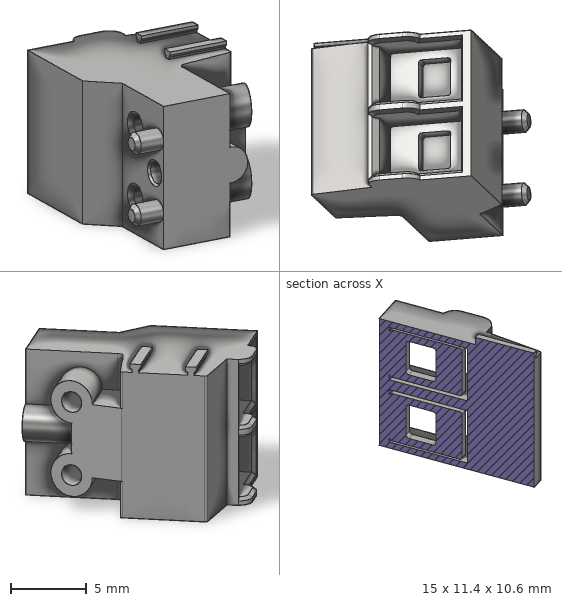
import cadquery as cq
import math

total_length = 15.0
total_depth = 11.4
body_height = 10.0
mid_height = body_height / 2
pole_offset = 2.5
pole_levels = (mid_height - pole_offset, mid_height + pole_offset)

body_left = 0.75
body_back = 7.08
step_start = 7.89
step_end = 9.63
step_depth = 2.01

tower_left = 1.52
tower_right = 8.45
tower_flank_run = 0.55
tower_tip_radius = 0.18
tower_root_radius = 0.45

recess_floor = 3.7
recess_front = 0.75
recess_back = 6.46
recess_front_bevel = 0.14
recess_back_mouth = 6.82
recess_back_bevel_end = 1.3

shelf_wall = 0.51
middle_shelf_half = 0.4
shelf_bevel_height = 0.21
shelf_bevel_run = 0.27
shelf_anchor_front = 0.3
shelf_anchor_depth = 0.75
shelf_anchor_right = recess_floor + shelf_anchor_depth
lobe_radius = 1.0
lobe_front = 3.5

pad_face = 2.65
pad_back = 6.1
pad_height = 3.76
pad_radius = 0.18
window_width = 2.2
window_height = 2.6
window_center = 3.08
window_radius = 0.22

rib_centers = (3.15, 6.87)
rib_height = 0.57
rib_head_width = 0.74
rib_stem_width = 0.44
rib_head_height = 0.24
rib_stem_height = 0.15

sleeve_x = 11.31
sleeve_radius = 1.45
sleeve_slope_degrees = 15.0
slope_start = 7.82
screw_hole_radius = 0.7
screw_hole_bevel = 0.3

pin_radius = 0.75
pin_x = total_length - pin_radius
pin_bevel = 0.3
socket_x = 13.82
socket_radius = 0.75
socket_bevel = 0.15
boss_radius = 1.25
boss_axis_y = 7.2


def box_between(x_range, y_range, z_range):
    """Axis-aligned box given by its limits along X, Y and Z."""
    (x0, x1), (y0, y1), (z0, z1) = x_range, y_range, z_range
    return cq.Workplane("XY").box(x1 - x0, y1 - y0, z1 - z0, centered=False).translate((x0, y0, z0))


def rod(x, z, radius, y_start, y_end):
    """Round rod parallel to Y."""
    base = cq.Plane(origin=(x, y_start, z), xDir=(1, 0, 0), normal=(0, 1, 0))
    return cq.Workplane(base).circle(radius).extrude(y_end - y_start)


def flared_hole(x, z, radius, bevel, y_end):
    """Hole cutter entering the stepped front face, with a 45 degree mouth."""
    mouth = cq.Solid.makeCone(
        radius + bevel, radius, bevel, cq.Vector(x, step_depth, z), cq.Vector(0, 1, 0)
    )
    return rod(x, z, radius, step_depth, y_end).union(cq.Workplane(mouth))


def make_body():
    outline = [
        (body_left, 0),
        (step_start, 0),
        (step_end, step_depth),
        (total_length, step_depth),
        (total_length, body_back),
        (tower_right, body_back),
        (tower_right - tower_flank_run, total_depth),
        (tower_left + tower_flank_run, total_depth),
        (tower_left, body_back),
        (body_left, body_back),
    ]
    body = cq.Workplane("XY").polyline(outline).close().extrude(body_height)
    body = body.faces(">Y").edges("|Z").fillet(tower_tip_radius)
    root = cq.selectors.NearestToPointSelector((tower_right, body_back, mid_height))
    return body.edges("|Z").edges(root).fillet(tower_root_radius)


def make_recess():
    outline = [
        (body_left, recess_front - recess_front_bevel),
        (body_left + shelf_bevel_run, recess_front),
        (recess_floor, recess_front),
        (recess_floor, recess_back),
        (recess_back_bevel_end, recess_back),
        (body_left, recess_back_mouth),
    ]
    return cq.Workplane("XY").polyline(outline).close().extrude(body_height)


def shelf_layer(z, height, taper):
    """Lobe and straight rim of a shelf; their front, back and right sides are buried in the body."""
    diagonal = lobe_radius * math.sqrt(0.5)
    lobe = (
        cq.Workplane("XY", origin=(0, 0, z))
        .moveTo(shelf_anchor_right, lobe_front)
        .lineTo(lobe_radius, lobe_front)
        .threePointArc(
            (lobe_radius - diagonal, lobe_front + lobe_radius - diagonal),
            (0, lobe_front + lobe_radius),
        )
        .lineTo(0, body_back - lobe_radius)
        .threePointArc(
            (lobe_radius - diagonal, body_back - lobe_radius + diagonal),
            (lobe_radius, body_back),
        )
        .lineTo(shelf_anchor_right, body_back)
        .close()
        .extrude(height, taper=taper)
    )
    rim = (
        cq.Workplane("XY", origin=(0, 0, z))
        .moveTo(body_left, shelf_anchor_front)
        .lineTo(shelf_anchor_right, shelf_anchor_front)
        .lineTo(shelf_anchor_right, body_back)
        .lineTo(body_left, body_back)
        .close()
        .extrude(height, taper=taper)
    )
    return lobe.union(rim)


def make_shelf(z_bottom, z_top, bevel_below, bevel_above):
    rim_bottom = z_bottom + (shelf_bevel_height if bevel_below else 0)
    rim_top = z_top - (shelf_bevel_height if bevel_above else 0)
    taper = math.degrees(math.atan(shelf_bevel_run / shelf_bevel_height))
    shelf = shelf_layer(rim_bottom, rim_top - rim_bottom, 0)
    bevel = shelf_layer(0, shelf_bevel_height, taper)
    if bevel_above:
        shelf = shelf.union(bevel.translate((0, 0, rim_top)))
    if bevel_below:
        shelf = shelf.union(bevel.mirror("XY").translate((0, 0, rim_bottom)))
    return shelf


def make_pad(z):
    """Rounded pad on the recess floor, with a window through it."""
    thickness = recess_floor - pad_face
    pad_center = (recess_front + pad_back) / 2
    pad_width = pad_back - recess_front
    pad = cq.Workplane("XY").box(thickness, pad_width, pad_height).edges("|X").fillet(pad_radius)
    window = cq.Workplane("XY").box(thickness, window_width, window_height).edges("|X").fillet(window_radius)
    pad = pad.cut(window.translate((0, window_center - pad_center, 0)))
    return pad.translate((pad_face + thickness / 2, pad_center, z))


def make_rib(x):
    half_head = rib_head_width / 2
    half_stem = rib_stem_width / 2
    head_bottom = rib_height - rib_head_height
    section = [
        (-half_stem, 0),
        (half_stem, 0),
        (half_stem, rib_stem_height),
        (half_head, head_bottom),
        (half_head, rib_height),
        (-half_head, rib_height),
        (-half_head, head_bottom),
        (-half_stem, rib_stem_height),
    ]
    rib = cq.Workplane("XZ").polyline(section).close().extrude(-(total_depth - body_back))
    return rib.translate((x, body_back, body_height))


def make_sleeves():
    """Two sleeves joined to the tower by a web, all ending on one sloped plane."""
    web_start = tower_right - tower_flank_run - tower_tip_radius
    sleeves = box_between((web_start, sleeve_x), (body_back, total_depth), pole_levels)
    for z in pole_levels:
        sleeves = sleeves.union(rod(sleeve_x, z, sleeve_radius, body_back, total_depth))
    drop = (total_length - slope_start) * math.tan(math.radians(sleeve_slope_degrees))
    keep = [
        (web_start, body_back),
        (total_length, body_back),
        (total_length, total_depth - drop),
        (slope_start, total_depth),
        (web_start, total_depth),
    ]
    return sleeves.intersect(cq.Workplane("XY").polyline(keep).close().extrude(body_height))


def make_boss():
    length = total_length - sleeve_x
    axis_start = cq.Vector(sleeve_x, boss_axis_y, mid_height)
    round_part = cq.Workplane(cq.Solid.makeCylinder(boss_radius, length, axis_start, cq.Vector(1, 0, 0)))
    foot = box_between(
        (sleeve_x, total_length),
        (body_back, boss_axis_y),
        (mid_height - boss_radius, mid_height + boss_radius),
    )
    return round_part.union(foot)


result = make_body().cut(make_recess())
result = result.union(make_shelf(0, shelf_wall, False, True))
result = result.union(make_shelf(mid_height - middle_shelf_half, mid_height + middle_shelf_half, True, True))
result = result.union(make_shelf(body_height - shelf_wall, body_height, True, False))

result = result.union(make_sleeves()).union(make_boss())
for rib_x in rib_centers:
    result = result.union(make_rib(rib_x))
for level in pole_levels:
    pin = rod(pin_x, level, pin_radius, 0, step_depth).faces("<Y").chamfer(pin_bevel)
    result = result.union(make_pad(level)).union(pin)

for level in pole_levels:
    result = result.cut(flared_hole(sleeve_x, level, screw_hole_radius, screw_hole_bevel, total_depth))
result = result.cut(flared_hole(socket_x, mid_height, socket_radius, socket_bevel, body_back))